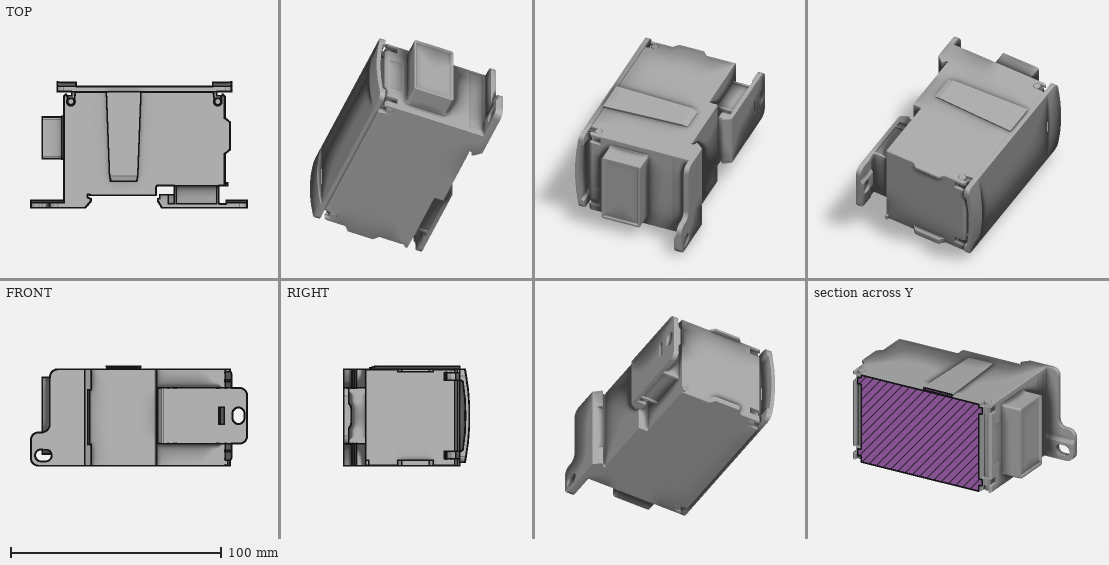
import cadquery as cq
import math

TOTAL_LENGTH = 103.0
TOTAL_DEPTH = 60.0
TOTAL_HEIGHT = 47.5

BODY_HEIGHT = 46.0
BODY_LEFT = 15.6
BODY_RIGHT = 92.5
BODY_MID_X = (BODY_LEFT + BODY_RIGHT) / 2
BODY_FRONT_Y = 55.4
RAIL_SEAT_Y = 6.0
STEP_Y = 10.6
STEP_X = 59.7
STEP_ROUND = 0.6
MID_Z = 23.85
EDGE_BEVEL = 0.35

HOOK_ROOT_X = 25.8
HOOK_TIP_X = 28.9
HOOK_THROAT_X = 27.1
HOOK_THROAT_WIDTH = 1.0
HOOK_TIP_Y = 3.8
HOOK_TIP_LAND = 0.4
HOOK_BEND_X = 28.2
HOOK_BEND_Y = 2.7
HOOK_LIP_Y = 5.0
HOOK_THROAT_Y = 6.4
HOOK_GAP_HEIGHT = 26.0
HOOK_GAP_MID_Z = 23.2

EAR_THICKNESS = 3.6
EAR_SHOULDER_X = 9.05
EAR_LOBE_TOP = 16.0
EAR_ROUND = 3.8
EAR_THIN = 2.5
PAD_HALF_HEIGHT = 4.3
PAD_SLOPE = 1.8
EAR_HOLE_X = 6.0
EAR_HOLE_Z = 5.0
HOLE_LENGTH = 7.8
HOLE_WIDTH = 5.6

LID_LENGTH = 83.1
LID_BACK_Y = BODY_FRONT_Y
LID_THICKNESS = 2.4
LID_FRONT_Y = LID_BACK_Y + LID_THICKNESS
LID_HALF_HEIGHT = BODY_HEIGHT - MID_Z
LID_ROUND = 3.0
LID_END_WIDTH = 9.1
LID_ARCH_HALF_HEIGHT = 16.3
LID_ARCH_END_Y = 56.8
LID_ARCH_LEAD = 0.8
LID_ARCH_MID_Y = 58.0

PIN_INSET = 3.5
PIN_Y = 50.6
PIN_RADIUS = 1.6
PIN_SEAT_RADIUS = 1.85
LIP_INSET = 1.2
LIP_Y = 54.2
LIP_SIDE_Y = 52.9
GROOVE_OUTER_INSET = 1.8
GROOVE_INNER_INSET = 5.0
GROOVE_MOUTH_INSET = 5.7
LUG_OFFSET = 18.75
LUG_HEIGHT = 3.6
LUG_STEP_INSET = 3.9
LUG_STEP_Y = 53.4
LUG_SLOT_Y = 48.0

CONNECTOR_FACE_X = 5.4
CONNECTOR_Y = 33.4
CONNECTOR_WIDTH = 20.0
CONNECTOR_HEIGHT = 36.5
CONNECTOR_ROUND = 1.1
CONNECTOR_LIP = 1.0
CONNECTOR_RECESS = 0.8
CONNECTOR_DRAFT = 35.0
COLLAR_THICKNESS = 0.9
COLLAR_MARGIN = 0.25

RECESS_DEPTH = 0.3
LABEL_Y = 48.65
LABEL_WIDTH = 6.3
LABEL_HEIGHT = 20.9
PANEL_Y = 7.6
PANEL_WIDTH = 6.8
PANEL_HEIGHT = 40.8

STRAP_HALF_WIDE = 8.25
STRAP_HALF_NARROW = 6.6
STRAP_X = 44.2
STRAP_END_Y = 12.6
STRAP_SLOPE = 2.8
STRAP_TOE = 0.6
STRAP_UNDERCUT = 0.6

BULGE_DEPTH = 2.3
BULGE_LOW_Y = 25.8
BULGE_HIGH_Y = 42.8
BULGE_SLOPE = 2.0
BULGE_TOP_THICKNESS = 1.2
BULGE_BOTTOM_THICKNESS = 2.8
LATCH_DEPTH = 1.2
LATCH_WIDTH = 1.4

CLIP_HEIGHT = 26.6
CLIP_PLATE = 2.0
CLIP_ROOT_X = 62.4
CLIP_TIP_X = 60.4
CLIP_BLOCK_X = 61.3
CLIP_BLOCK_END_X = 65.4
CLIP_TIP_Y = 3.4
CLIP_TIP_LAND = 1.0
CLIP_BLOCK_Y = 6.4
CLIP_TAB_X = 93.0
CLIP_ROUND = EAR_ROUND
CLIP_ROOT_ROUND = 1.0
STEM_FOOT_ROUND = 0.6
CLIP_RIB_INSET = 1.5
STEM_LEFT = 68.2
STEM_RIGHT = 89.5
STEM_WALL = 1.0
STEM_INSET = 1.0
CLIP_HOLE_X = 98.8
CLIP_SLOT_LEFT = 89.4
CLIP_SLOT_WIDTH = 2.7
CLIP_SLOT_HEIGHT = 8.1


def box(x0, x1, y0, y1, z0, z1):
    """Box between two opposite corners."""
    return cq.Workplane("XY").box(x1 - x0, y1 - y0, z1 - z0, centered=False).translate((x0, y0, z0))


def side_box(x0, x1, y_mid, width, height):
    """Box centred at MID_Z, spanning x0..x1."""
    half_w, half_h = width / 2, height / 2
    return box(x0, x1, y_mid - half_w, y_mid + half_w, MID_Z - half_h, MID_Z + half_h)


def on_both_sides(shape):
    """The shape together with its mirror image across the housing's middle."""
    middle = (BODY_MID_X, 0, 0)
    return shape.union(shape.mirror("YZ", middle))


def near_edge(x, y):
    """Selector for the upright edge at one place in plan."""
    reach = 0.1
    return cq.selectors.BoxSelector((x - reach, y - reach, 0), (x + reach, y + reach, TOTAL_HEIGHT))


def make_housing():
    housing = (
        cq.Workplane("XY")
        .moveTo(BODY_LEFT, 0)
        .lineTo(HOOK_ROOT_X, 0)
        .lineTo(HOOK_BEND_X, HOOK_BEND_Y)
        .lineTo(HOOK_TIP_X, HOOK_TIP_Y)
        .lineTo(HOOK_TIP_X, HOOK_TIP_Y + HOOK_TIP_LAND)
        .lineTo(HOOK_THROAT_X, HOOK_LIP_Y)
        .lineTo(HOOK_THROAT_X, HOOK_THROAT_Y)
        .lineTo(HOOK_THROAT_X + HOOK_THROAT_WIDTH, HOOK_THROAT_Y)
        .lineTo(HOOK_THROAT_X + HOOK_THROAT_WIDTH, RAIL_SEAT_Y)
        .lineTo(STEP_X, RAIL_SEAT_Y)
        .lineTo(STEP_X, STEP_Y)
        .lineTo(BODY_RIGHT, STEP_Y)
        .lineTo(BODY_RIGHT, BODY_FRONT_Y)
        .lineTo(BODY_LEFT, BODY_FRONT_Y)
        .close()
        .extrude(BODY_HEIGHT)
    )
    for corner_y in (RAIL_SEAT_Y, STEP_Y):
        housing = housing.edges(near_edge(STEP_X, corner_y)).fillet(STEP_ROUND)
    side_edges = "(<X or >X) and |Y"
    front_edges = ">Y and |X"
    housing = housing.edges(f"({side_edges}) or ({front_edges})").chamfer(EDGE_BEVEL)
    gap_low_z = HOOK_GAP_MID_Z - HOOK_GAP_HEIGHT / 2
    gap_high_z = HOOK_GAP_MID_Z + HOOK_GAP_HEIGHT / 2
    hook_gap = box(HOOK_THROAT_X, HOOK_TIP_X, 0, HOOK_LIP_Y, gap_low_z, gap_high_z)
    return housing.cut(hook_gap)


def cut_hinge_grooves(housing):
    """Cut the open groove and the lug slots along both front edges."""
    left = BODY_LEFT
    pin_x = left + PIN_INSET
    top_y = BODY_FRONT_Y
    groove = (
        cq.Workplane("XY")
        .moveTo(left, top_y)
        .lineTo(left, LIP_SIDE_Y)
        .lineTo(left + LIP_INSET, LIP_Y)
        .lineTo(left + GROOVE_OUTER_INSET, LIP_SIDE_Y)
        .lineTo(left + GROOVE_OUTER_INSET, PIN_Y)
        .lineTo(left + GROOVE_INNER_INSET, PIN_Y)
        .lineTo(left + GROOVE_MOUTH_INSET, top_y)
        .close()
        .extrude(BODY_HEIGHT)
    )
    seat = cq.Workplane("XY").center(pin_x, PIN_Y).circle(PIN_SEAT_RADIUS).extrude(BODY_HEIGHT)
    cutter = groove.union(seat)
    for z_mid in lug_heights():
        z_low = z_mid - LUG_HEIGHT / 2
        cutter = cutter.union(box(left, pin_x, LUG_SLOT_Y, top_y, z_low, z_low + LUG_HEIGHT))
    return housing.cut(on_both_sides(cutter))


def lug_heights():
    return (MID_Z - LUG_OFFSET, MID_Z + LUG_OFFSET)


def make_hinges():
    """Full-height hinge pins, joined to the lid by two lugs each."""
    left = BODY_LEFT
    pin_x = left + PIN_INSET
    hinge = cq.Workplane("XY").center(pin_x, PIN_Y).circle(PIN_RADIUS).extrude(BODY_HEIGHT)
    lug_outline = (
        cq.Workplane("XY")
        .moveTo(pin_x - PIN_RADIUS, PIN_Y)
        .lineTo(pin_x - PIN_RADIUS, LUG_STEP_Y)
        .lineTo(left + LUG_STEP_INSET, LUG_STEP_Y)
        .lineTo(left + LUG_STEP_INSET, LID_BACK_Y)
        .lineTo(left + GROOVE_MOUTH_INSET, LID_BACK_Y)
        .lineTo(pin_x + PIN_RADIUS, PIN_Y)
        .close()
        .extrude(LUG_HEIGHT)
    )
    for z_mid in lug_heights():
        hinge = hinge.union(lug_outline.translate((0, 0, z_mid - LUG_HEIGHT / 2)))
    return on_both_sides(hinge)


def make_lid():
    """Flat lid plate whose two end strips are arched outwards."""
    left = BODY_MID_X - LID_LENGTH / 2
    low_z = MID_Z - LID_HALF_HEIGHT
    high_z = MID_Z + LID_HALF_HEIGHT
    plate = box(left, left + LID_LENGTH, LID_BACK_Y, LID_FRONT_Y, low_z, high_z)
    crown = (
        cq.Workplane("YZ")
        .moveTo(LID_BACK_Y, low_z)
        .lineTo(LID_FRONT_Y, low_z)
        .threePointArc((TOTAL_DEPTH, MID_Z), (LID_FRONT_Y, high_z))
        .lineTo(LID_BACK_Y, high_z)
        .close()
        .extrude(LID_END_WIDTH)
        .translate((left, 0, 0))
    )
    arch_low_z = MID_Z - LID_ARCH_HALF_HEIGHT
    arch_high_z = MID_Z + LID_ARCH_HALF_HEIGHT
    hollow = (
        cq.Workplane("YZ")
        .moveTo(LID_BACK_Y, arch_low_z - LID_ARCH_LEAD)
        .lineTo(LID_ARCH_END_Y, arch_low_z)
        .threePointArc((LID_ARCH_MID_Y, MID_Z), (LID_ARCH_END_Y, arch_high_z))
        .lineTo(LID_BACK_Y, arch_high_z + LID_ARCH_LEAD)
        .close()
        .extrude(LID_END_WIDTH)
        .translate((left, 0, 0))
    )
    lid = plate.union(on_both_sides(crown)).cut(on_both_sides(hollow))
    rounded_outline = (
        cq.Workplane("XZ")
        .center(BODY_MID_X, MID_Z)
        .rect(LID_LENGTH, 2 * LID_HALF_HEIGHT)
        .extrude(-TOTAL_DEPTH)
        .edges("|Y")
        .fillet(LID_ROUND)
    )
    return lid.intersect(rounded_outline)


def pad_relief(x0, x1, hole_z, direction):
    """Cutter that thins a tab beyond its hole pad, above (1) or below (-1) the hole."""
    pad_z = hole_z + direction * PAD_HALF_HEIGHT
    far_z = hole_z + direction * BODY_HEIGHT
    return (
        cq.Workplane("YZ", origin=(x0, 0, 0))
        .moveTo(EAR_THICKNESS, pad_z)
        .lineTo(EAR_THIN, pad_z + direction * PAD_SLOPE)
        .lineTo(EAR_THIN, far_z)
        .lineTo(EAR_THICKNESS, far_z)
        .close()
        .extrude(x1 - x0)
    )


def make_ear():
    """Stepped mounting ear with a horizontal slotted hole."""
    neck_low_z = EAR_LOBE_TOP + EAR_ROUND
    end_x = BODY_LEFT + 1
    arc_in = EAR_ROUND * (1 - math.sqrt(0.5))
    ear = (
        cq.Workplane("XZ")
        .moveTo(end_x, 0)
        .lineTo(EAR_ROUND, 0)
        .threePointArc((arc_in, arc_in), (0, EAR_ROUND))
        .lineTo(0, EAR_LOBE_TOP - EAR_ROUND)
        .threePointArc((arc_in, EAR_LOBE_TOP - arc_in), (EAR_ROUND, EAR_LOBE_TOP))
        .lineTo(EAR_SHOULDER_X - EAR_ROUND, EAR_LOBE_TOP)
        .threePointArc(
            (EAR_SHOULDER_X - arc_in, EAR_LOBE_TOP + arc_in),
            (EAR_SHOULDER_X, neck_low_z),
        )
        .lineTo(EAR_SHOULDER_X, BODY_HEIGHT - EAR_ROUND)
        .threePointArc(
            (EAR_SHOULDER_X + arc_in, BODY_HEIGHT - arc_in),
            (EAR_SHOULDER_X + EAR_ROUND, BODY_HEIGHT),
        )
        .lineTo(end_x, BODY_HEIGHT)
        .close()
        .extrude(-EAR_THICKNESS)
    )
    hole = cq.Workplane("XZ").center(EAR_HOLE_X, EAR_HOLE_Z).slot2D(HOLE_LENGTH, HOLE_WIDTH)
    ear = ear.cut(pad_relief(0, end_x, EAR_HOLE_Z, 1))
    return ear.cut(hole.extrude(-EAR_THICKNESS))


def make_connector():
    """Connector shell with a shallow drafted recess in its face, on a thin collar."""
    shell = side_box(CONNECTOR_FACE_X, BODY_LEFT, CONNECTOR_Y, CONNECTOR_WIDTH, CONNECTOR_HEIGHT)
    shell = shell.edges("|X").fillet(CONNECTOR_ROUND)
    opening = (
        cq.Workplane("YZ", origin=(CONNECTOR_FACE_X, CONNECTOR_Y, MID_Z))
        .rect(CONNECTOR_WIDTH - 2 * CONNECTOR_LIP, CONNECTOR_HEIGHT - 2 * CONNECTOR_LIP)
        .extrude(CONNECTOR_RECESS, taper=CONNECTOR_DRAFT)
    )
    collar = side_box(
        BODY_LEFT - COLLAR_THICKNESS,
        BODY_LEFT,
        CONNECTOR_Y,
        CONNECTOR_WIDTH + 2 * COLLAR_MARGIN,
        CONNECTOR_HEIGHT + 2 * COLLAR_MARGIN,
    ).edges("|X").fillet(CONNECTOR_ROUND)
    return shell.cut(opening).union(collar)


def cut_side_recesses(housing):
    recess_end = BODY_LEFT + RECESS_DEPTH
    label = side_box(BODY_LEFT, recess_end, LABEL_Y, LABEL_WIDTH, LABEL_HEIGHT)
    panel = side_box(BODY_LEFT, recess_end, PANEL_Y, PANEL_WIDTH, PANEL_HEIGHT)
    return housing.cut(label).cut(panel)


def make_strap():
    """Tapered strap with undercut sides and a sloped end."""
    slope_start_y = STRAP_END_Y + STRAP_SLOPE

    def outline(z, inset):
        return (
            cq.Workplane("XY", origin=(STRAP_X, 0, z))
            .moveTo(-STRAP_HALF_WIDE + inset, BODY_FRONT_Y)
            .lineTo(-STRAP_HALF_NARROW + inset, STRAP_END_Y)
            .lineTo(STRAP_HALF_NARROW - inset, STRAP_END_Y)
            .lineTo(STRAP_HALF_WIDE - inset, BODY_FRONT_Y)
            .close()
            .wires()
            .val()
        )

    lower = outline(BODY_HEIGHT, STRAP_UNDERCUT)
    upper = outline(TOTAL_HEIGHT, 0)
    strap = cq.Workplane("XY").add(cq.Solid.makeLoft([lower, upper], True))
    slope = (
        cq.Workplane("YZ", origin=(STRAP_X, 0, 0))
        .moveTo(STRAP_END_Y, BODY_HEIGHT + STRAP_TOE)
        .lineTo(slope_start_y, TOTAL_HEIGHT)
        .lineTo(STRAP_END_Y, TOTAL_HEIGHT)
        .close()
        .extrude(STRAP_HALF_WIDE, both=True)
    )
    return strap.cut(slope)


def make_side_plates():
    """Thin bulged plates at the top and bottom of the right wall, with a small latch."""
    outer_x = BODY_RIGHT + BULGE_DEPTH
    inner_x = BODY_RIGHT - EDGE_BEVEL
    bulge = (
        cq.Workplane("XY")
        .moveTo(inner_x, BULGE_LOW_Y)
        .lineTo(BODY_RIGHT, BULGE_LOW_Y)
        .lineTo(outer_x, BULGE_LOW_Y + BULGE_SLOPE)
        .lineTo(outer_x, BULGE_HIGH_Y - BULGE_SLOPE)
        .lineTo(BODY_RIGHT, BULGE_HIGH_Y)
        .lineTo(inner_x, BULGE_HIGH_Y)
        .close()
        .extrude(BODY_HEIGHT)
    )
    top_z = BODY_HEIGHT - BULGE_TOP_THICKNESS
    gap = box(BODY_RIGHT, outer_x, BULGE_LOW_Y, BULGE_HIGH_Y, BULGE_BOTTOM_THICKNESS, top_z)
    latch_x = BODY_RIGHT + LATCH_DEPTH
    latch_y = STEP_Y + LATCH_WIDTH
    latch = box(inner_x, latch_x, STEP_Y, latch_y, EDGE_BEVEL, BULGE_BOTTOM_THICKNESS)
    return bulge.cut(gap).union(latch)


def make_clip():
    """Rail clip: hooked plate, tab with holes, and the stem that joins it to the housing."""
    profile = (
        cq.Workplane("XY")
        .moveTo(CLIP_ROOT_X, 0)
        .lineTo(TOTAL_LENGTH, 0)
        .lineTo(TOTAL_LENGTH, EAR_THICKNESS)
        .lineTo(CLIP_TAB_X, EAR_THICKNESS)
        .lineTo(CLIP_TAB_X, CLIP_PLATE)
        .lineTo(CLIP_BLOCK_END_X, CLIP_PLATE)
        .lineTo(CLIP_BLOCK_END_X, CLIP_BLOCK_Y)
        .lineTo(CLIP_BLOCK_X, CLIP_BLOCK_Y)
        .lineTo(CLIP_BLOCK_X, CLIP_TIP_Y + CLIP_TIP_LAND)
        .lineTo(CLIP_TIP_X, CLIP_TIP_Y + CLIP_TIP_LAND)
        .lineTo(CLIP_TIP_X, CLIP_TIP_Y)
        .close()
        .extrude(CLIP_HEIGHT)
        .edges("|Y and >X")
        .fillet(CLIP_ROUND)
        .translate((0, 0, MID_Z - CLIP_HEIGHT / 2))
    )
    profile = profile.edges(near_edge(CLIP_ROOT_X, 0)).fillet(CLIP_ROOT_ROUND)
    for direction in (-1, 1):
        profile = profile.cut(pad_relief(CLIP_TAB_X, TOTAL_LENGTH, MID_Z, direction))
    web_height = CLIP_HEIGHT - 2 * CLIP_RIB_INSET
    web_depth = CLIP_BLOCK_Y - CLIP_PLATE
    web = side_box(
        CLIP_BLOCK_END_X, STEM_LEFT, CLIP_PLATE + web_depth / 2, web_depth, web_height
    )
    stem_depth = STEP_Y - CLIP_PLATE
    stem_y = CLIP_PLATE + stem_depth / 2
    stem = side_box(STEM_LEFT, STEM_RIGHT, stem_y, stem_depth, CLIP_HEIGHT - 2 * STEM_INSET)
    for wall_x in (STEM_LEFT, STEM_RIGHT - STEM_WALL):
        stem = stem.union(side_box(wall_x, wall_x + STEM_WALL, stem_y, stem_depth, CLIP_HEIGHT))
    hole = (
        cq.Workplane("XZ")
        .center(CLIP_HOLE_X, MID_Z)
        .slot2D(HOLE_LENGTH, HOLE_WIDTH, 90)
        .extrude(-EAR_THICKNESS)
    )
    slot_right = CLIP_SLOT_LEFT + CLIP_SLOT_WIDTH
    slot = side_box(CLIP_SLOT_LEFT, slot_right, CLIP_PLATE / 2, CLIP_PLATE, CLIP_SLOT_HEIGHT)
    clip = profile.union(web).union(stem)
    clip = clip.edges(near_edge(STEM_RIGHT, CLIP_PLATE)).fillet(STEM_FOOT_ROUND)
    return clip.cut(hole).cut(slot)


housing = cut_side_recesses(cut_hinge_grooves(make_housing()))
result = (
    housing
    .union(make_ear())
    .union(make_connector())
    .union(make_strap())
    .union(make_side_plates())
    .union(make_clip())
    .union(make_hinges())
    .union(make_lid())
)